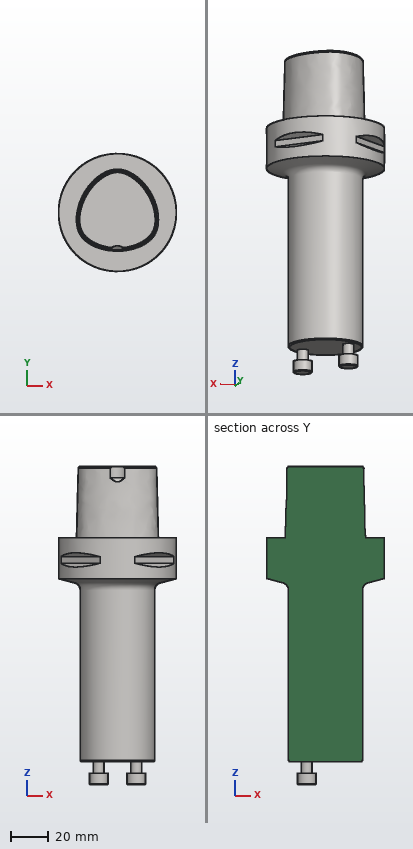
import cadquery as cq
import math

total_height = 170.0
taper_length = 38.0
flange_height = 22.0
shank_bottom = 12.2
screw_head_height = 6.1

flange_radius = 63.0 / 2
shank_radius = 40.0 / 2
shank_chamfer = 0.7
neck_angle = 15.0
neck_fillet = 3.7

taper_mean_radius = 22.0
lobe_height = 1.25
taper_slope = 1 / 40
taper_edge_height = 1.0
taper_edge_inset = 0.8
outline_points = 36

notch_radius = 10.0 / 2
notch_center_y = -22.8
notch_depth = 6.1

groove_count = 4
groove_floor_distance = 27.9
groove_floor_height = 3.4
groove_side_angle = 30.0
groove_above_flange_bottom = 10.0

screw_shaft_diameter = 6.0
screw_head_diameter = 10.0
screw_offset = 10.0
screw_head_chamfer = 0.5

flange_top = total_height - taper_length
flange_bottom = flange_top - flange_height


def make_body():
    """Flange, conical neck and shank as one turned solid."""
    neck_drop = (flange_radius - shank_radius) * math.tan(math.radians(neck_angle))
    corner_z = flange_bottom - neck_drop
    half_corner = math.radians(90 + neck_angle) / 2
    tangent_length = neck_fillet / math.tan(half_corner)
    cone_end = (
        shank_radius + tangent_length * math.cos(math.radians(neck_angle)),
        corner_z + tangent_length * math.sin(math.radians(neck_angle)),
    )
    fillet_end = (shank_radius, corner_z - tangent_length)
    return (
        cq.Workplane("XZ")
        .moveTo(0, flange_top)
        .lineTo(flange_radius, flange_top)
        .lineTo(flange_radius, flange_bottom)
        .lineTo(*cone_end)
        .radiusArc(fillet_end, -neck_fillet)
        .lineTo(shank_radius, shank_bottom + shank_chamfer)
        .lineTo(shank_radius - shank_chamfer, shank_bottom)
        .lineTo(0, shank_bottom)
        .close()
        .revolve(360, (0, 0, 0), (0, 1, 0))
    )


def lobed_point(mean_radius, angle):
    """Point of the three-lobed curve whose normal points along angle; one lobe faces +Y."""
    lobe_phase = 3 * (angle - math.pi / 2)
    reach = mean_radius + lobe_height * math.cos(lobe_phase)
    reach_rate = -3 * lobe_height * math.sin(lobe_phase)
    return (
        reach * math.cos(angle) - reach_rate * math.sin(angle),
        reach * math.sin(angle) + reach_rate * math.cos(angle),
    )


def lobed_loft(bottom_radius, top_radius, bottom_z, height):
    """Solid between two three-lobed outlines."""
    angles = [2 * math.pi * i / outline_points for i in range(outline_points)]
    return (
        cq.Workplane("XY", origin=(0, 0, bottom_z))
        .spline([lobed_point(bottom_radius, angle) for angle in angles], periodic=True)
        .close()
        .workplane(offset=height)
        .spline([lobed_point(top_radius, angle) for angle in angles], periodic=True)
        .close()
        .loft(ruled=True)
    )


def make_taper():
    """Lobed taper with a bevelled top edge."""
    side_height = taper_length - taper_edge_height
    side_top_radius = taper_mean_radius - side_height * taper_slope
    side = lobed_loft(taper_mean_radius, side_top_radius, flange_top, side_height)
    edge = lobed_loft(
        side_top_radius,
        side_top_radius - taper_edge_inset,
        flange_top + side_height,
        taper_edge_height,
    )
    return side.union(edge)


def make_notch():
    """Vertical drilled notch with a 90 degree conical bottom."""
    notch_floor = total_height - notch_depth
    return (
        cq.Workplane("XZ")
        .moveTo(0, total_height)
        .lineTo(notch_radius, total_height)
        .lineTo(notch_radius, notch_floor)
        .lineTo(0, notch_floor - notch_radius)
        .close()
        .revolve(360, (0, 0, 0), (0, 1, 0))
        .translate((0, notch_center_y, 0))
    )


def make_groove():
    """Straight groove with sloped sides, cut into the +X side of the flange."""
    mid_z = flange_bottom + groove_above_flange_bottom
    floor_half = groove_floor_height / 2
    flare = (flange_radius - groove_floor_distance) * math.tan(math.radians(groove_side_angle))
    mouth_half = floor_half + flare
    return (
        cq.Workplane("XZ")
        .moveTo(groove_floor_distance, mid_z - floor_half)
        .lineTo(flange_radius, mid_z - mouth_half)
        .lineTo(flange_radius, mid_z + mouth_half)
        .lineTo(groove_floor_distance, mid_z + floor_half)
        .close()
        .extrude(flange_radius, both=True)
    )


def make_screw():
    """Screw on the Z axis, its head down."""
    head = (
        cq.Workplane("XY")
        .circle(screw_head_diameter / 2)
        .extrude(screw_head_height)
        .faces("<Z")
        .chamfer(screw_head_chamfer)
    )
    shaft = cq.Workplane("XY").circle(screw_shaft_diameter / 2).extrude(shank_bottom)
    return head.union(shaft)


result = make_body().union(make_taper()).cut(make_notch())

for i in range(groove_count):
    groove_angle = 45 + i * 360 / groove_count
    result = result.cut(make_groove().rotate((0, 0, 0), (0, 0, 1), groove_angle))

for side in (-1, 1):
    result = result.union(make_screw().translate((side * screw_offset, -side * screw_offset, 0)))